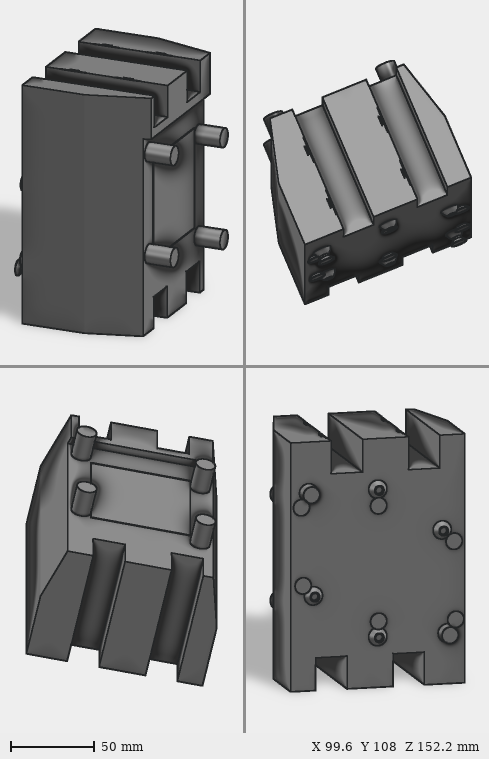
import cadquery as cq
import math

height = 152.2
width = 108.0
depth = 79.9
embed = 3.0
taper_start = 41.0
back_width = 86.8

lip_height = 26.2
set_back = 4.7
back_x = depth - set_back

slot_width = 19.5
slot_depth = 20.1
slot_centres = (19.2, -28.8)

pin_diameter = 12.0
pin_tip_x = 92.1
outer_pin_z = 39.0
inner_pin_z = 26.0
pin_y = 36.4
pad_thickness = 0.5
pad_height = 64.0
pad_width = 2 * pin_y - pin_diameter

dome_radius = 5.6
dome_height = 3.7
dome_top_radius = 2.9
dome_mid_radius = 4.5
socket_radius = 2.3
socket_depth = 1.8

cone_radius = 5.0
cone_rim = 0.3
shank_radius = 2.7
cone_height = cone_radius - shank_radius
side_tip = 2.1
stacked_tip = 7.5
screw_spacing = 9.7

mark_depth = 0.2
mark_x = (18.0, 53.1)
edge_mark_length = 16.5
edge_mark_width = 0.6
inner_mark_length = 6.1
inner_mark_short = 4.9
inner_mark_offset = 1.5
inner_mark_width = 0.6

screw_groups = (
    (43.0, 45.0, -60, True),
    (0.0, 45.0, -90, False),
    (-39.9, 18.1, -135, False),
)


def turned(profile, y, z):
    """Place a solid, revolved about the X axis, at the given Y and Z."""
    return profile.revolve(360, (0, 0), (1, 0)).translate((0, y, z))


def make_block():
    outline = [
        (0, -width / 2),
        (taper_start, -width / 2),
        (depth, -back_width / 2),
        (depth, back_width / 2),
        (taper_start, width / 2),
        (0, width / 2),
    ]
    block = cq.Workplane("XY").polyline(outline).close().extrude(height)
    block = block.translate((0, 0, -height / 2))
    recess = cq.Workplane("XY").box(set_back, width, height - lip_height, centered=(False, True, False))
    block = block.cut(recess.translate((back_x, 0, -height / 2)))
    slot = cq.Workplane("XY").box(depth, slot_width, slot_depth, centered=(False, True, False))
    for y in slot_centres:
        block = block.cut(slot.translate((0, y, height / 2 - slot_depth)))
        block = block.cut(slot.translate((0, -y, -height / 2)))
    return block


def make_back_parts():
    pad = cq.Workplane("XY").box(embed + pad_thickness, pad_width, pad_height, centered=(False, True, True))
    parts = pad.translate((back_x - embed, 0, 0))
    pins = (
        cq.Workplane("YZ", origin=(back_x - embed, 0, 0))
        .pushPoints([
            (-pin_y, outer_pin_z),
            (pin_y, -outer_pin_z),
            (pin_y, inner_pin_z),
            (-pin_y, -inner_pin_z),
        ])
        .circle(pin_diameter / 2)
        .extrude(pin_tip_x - back_x + embed)
    )
    return parts.union(pins)


def dome(y, z):
    profile = (
        cq.Workplane("XY")
        .moveTo(embed, 0)
        .lineTo(embed, dome_radius)
        .lineTo(0, dome_radius)
        .threePointArc((-dome_height / 2, dome_mid_radius), (-dome_height, dome_top_radius))
        .lineTo(-dome_height, socket_radius)
        .lineTo(socket_depth - dome_height, socket_radius)
        .lineTo(socket_depth - dome_height, 0)
        .close()
    )
    return turned(profile, y, z)


def countersunk_screw(y, z, tip):
    profile = cq.Workplane("XY").polyline([
        (-tip, 0),
        (-tip, cone_radius),
        (cone_rim - tip, cone_radius),
        (cone_rim + cone_height - tip, shank_radius),
        (embed, shank_radius),
        (embed, 0),
    ]).close()
    return turned(profile, y, z)


def screw_group(y, z, angle, stacked):
    beside_y = y + screw_spacing * math.cos(math.radians(angle))
    beside_z = z + screw_spacing * math.sin(math.radians(angle))
    group = dome(y, z).union(countersunk_screw(beside_y, beside_z, side_tip))
    if stacked:
        group = group.union(countersunk_screw(y, z, stacked_tip))
    return group


def slot_marks(x, wall_y):
    """Edge strip and small tapered mark next to the +Y wall of a slot."""
    inner_y = wall_y + inner_mark_offset
    floor = (x, 0, height / 2 - mark_depth)
    strip = (
        cq.Workplane("XY", origin=floor)
        .center(0, wall_y + edge_mark_width / 2)
        .rect(edge_mark_length, edge_mark_width)
        .extrude(mark_depth)
    )
    tapered = cq.Workplane("XY", origin=floor).polyline([
        (-inner_mark_short / 2, inner_y),
        (inner_mark_short / 2, inner_y),
        (inner_mark_length / 2, inner_y + inner_mark_width),
        (-inner_mark_length / 2, inner_y + inner_mark_width),
    ]).close().extrude(mark_depth)
    return strip.union(tapered)


result = make_block().union(make_back_parts())

for slot_y in slot_centres:
    for x in mark_x:
        result = result.cut(slot_marks(x, slot_y + slot_width / 2))

for y, z, angle, stacked in screw_groups:
    result = result.union(screw_group(y, z, angle, stacked))
    result = result.union(screw_group(-y, -z, angle + 180, stacked))